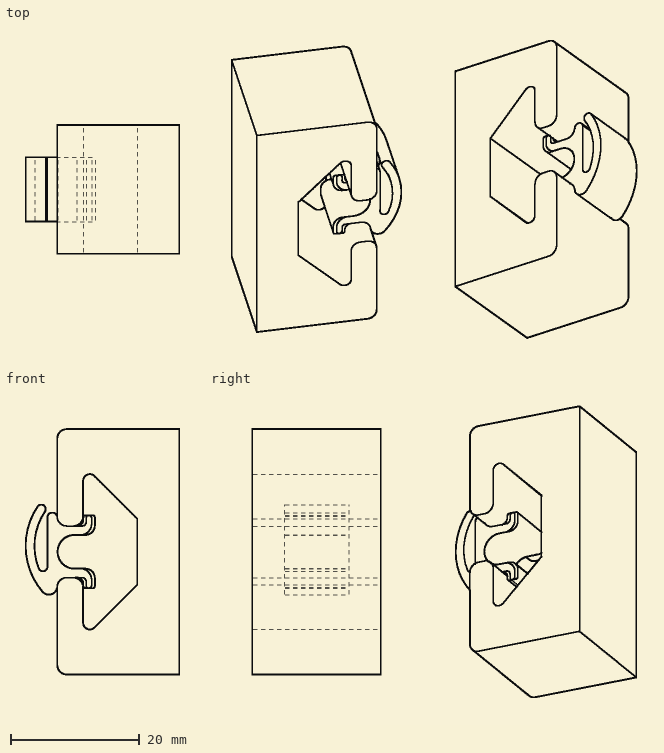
import cadquery as cq
import math

HEIGHT = 38.1
WIDTH = 20.0
DEPTH = 18.97
EDGE_RADIUS = 1.5
LIP_DEPTH = 4.05
MOUTH_HALF = 4.0
CAVITY_BACK = 12.4
CAVITY_BACK_HALF = 5.15
CAVITY_RADIUS = 1.03

CLIP_WIDTH = WIDTH / 2
PLATE_THICKNESS = 1.52
PLATE_TOP = 6.1
LOBE_RADIUS = 1.3
LOBE_Z = -5.37
TONGUE_FRONT = -4.9
TONGUE_Z = 0.9
TONGUE_THICKNESS = 1.4
TONGUE_TIP_Z = 6.63
GAP_RADIUS = 0.7

SLOT_HALF = 2.6
SLOT_START = 0.08
HOOK_TOP = 5.68
HOOK_BACK = 5.85
HOOK_OUTER_RADIUS = 1.52
HOOK_INNER_RADIUS = 1.0
HOOK_TIP_RADIUS = 0.4
CORE_FRONT = 4.5
CORE_BACK = 5.35
CORE_OUTER_RADIUS = 1.75
CORE_INNER_RADIUS = 0.6
CORE_TIP_RADIUS = 0.4
SKIN = 0.05


def centred_prism(outline, width):
    """Extrude a closed XZ outline equally to both sides of Y = 0."""
    return outline.close().extrude(width / 2, both=True)


def polygon_prism(points, width):
    return centred_prism(cq.Workplane("XZ").polyline(points), width)


def box_between(x0, x1, z0, z1, width):
    return polygon_prism([(x0, z0), (x1, z0), (x1, z1), (x0, z1)], width)


def round_edges(body, x, z_values, radius):
    """Round the edges along Y at one X and several Z positions."""
    tolerance = 0.005
    for z in z_values:
        corner = cq.selectors.BoxSelector(
            (x - tolerance, -WIDTH, z - tolerance), (x + tolerance, WIDTH, z + tolerance)
        )
        body = body.edges("|Y").edges(corner).fillet(radius)
    return body


def point_on_circle(center, radius, angle):
    return (center[0] + radius * math.cos(angle), center[1] + radius * math.sin(angle))


def direction(start, end):
    """Angle of the line from start to end, from 0 to a full turn."""
    return math.atan2(end[1] - start[1], end[0] - start[0]) % (2 * math.pi)


def make_housing():
    block = box_between(0, DEPTH, -HEIGHT / 2, HEIGHT / 2, WIDTH)
    apex_z = CAVITY_BACK_HALF + CAVITY_BACK - LIP_DEPTH
    cavity = polygon_prism(
        [(LIP_DEPTH, -apex_z), (CAVITY_BACK, -CAVITY_BACK_HALF),
         (CAVITY_BACK, CAVITY_BACK_HALF), (LIP_DEPTH, apex_z)], WIDTH)
    cavity = round_edges(cavity, LIP_DEPTH, (-apex_z, apex_z), CAVITY_RADIUS)
    mouth = box_between(0, LIP_DEPTH, -MOUTH_HALF, MOUTH_HALF, WIDTH)
    housing = block.cut(cavity).cut(mouth)
    housing = round_edges(housing, 0, (-HEIGHT / 2, HEIGHT / 2), EDGE_RADIUS)
    for lip_x in (0, LIP_DEPTH):
        housing = round_edges(housing, lip_x, (-MOUTH_HALF, MOUTH_HALF), EDGE_RADIUS)
    return housing


def make_head(housing):
    """Plate, lower lobe and tongue as one profile, fitted around the lips."""
    front_to_lobe = -LOBE_RADIUS - TONGUE_FRONT
    lobe_drop = TONGUE_Z - LOBE_Z
    outer = (front_to_lobe**2 + lobe_drop**2 - LOBE_RADIUS**2) / (2 * (front_to_lobe - LOBE_RADIUS))
    inner = outer - TONGUE_THICKNESS
    middle = (outer + inner) / 2
    center = (TONGUE_FRONT + outer, TONGUE_Z)
    lobe = (-LOBE_RADIUS, LOBE_Z)

    gap_x = -PLATE_THICKNESS - GAP_RADIUS
    gap = (gap_x, TONGUE_Z - math.sqrt((inner - GAP_RADIUS)**2 - (center[0] - gap_x)**2))

    tip_angle = math.pi - math.asin((TONGUE_TIP_Z - TONGUE_Z) / middle)
    tip = point_on_circle(center, middle, tip_angle)
    tip_crown = point_on_circle(tip, TONGUE_THICKNESS / 2, tip_angle - math.pi / 2)
    lobe_angle = direction(center, lobe)
    gap_angle = direction(center, gap)
    plate_round = PLATE_THICKNESS / 2

    outline = (
        cq.Workplane("XZ")
        .moveTo(*point_on_circle(center, outer, tip_angle))
        .threePointArc((TONGUE_FRONT, TONGUE_Z), point_on_circle(center, outer, lobe_angle))
        .threePointArc((lobe[0], LOBE_Z - LOBE_RADIUS), (0, LOBE_Z))
        .lineTo(0, PLATE_TOP - plate_round)
        .threePointArc((-plate_round, PLATE_TOP), (-PLATE_THICKNESS, PLATE_TOP - plate_round))
        .lineTo(-PLATE_THICKNESS, gap[1])
        .threePointArc((gap[0], gap[1] - GAP_RADIUS), point_on_circle(center, inner, gap_angle))
        .threePointArc((center[0] - inner, TONGUE_Z), point_on_circle(center, inner, tip_angle))
        .threePointArc(tip_crown, point_on_circle(center, outer, tip_angle))
    )
    root_half = MOUTH_HALF + EDGE_RADIUS
    root = box_between(-PLATE_THICKNESS, EDGE_RADIUS, -root_half, root_half, CLIP_WIDTH)
    return centred_prism(outline, CLIP_WIDTH).union(root).cut(housing)


def make_arm(front, back, top, outer_radius, inner_radius, tip_radius):
    """Upper arm ending in an upturned hook."""
    arm = polygon_prism(
        [(0, 0), (back, 0), (back, top), (front, top), (front, MOUTH_HALF), (0, MOUTH_HALF)],
        CLIP_WIDTH)
    arm = arm.cut(box_between(SLOT_START + SLOT_HALF, back, 0, SLOT_HALF, CLIP_WIDTH))
    arm = round_edges(arm, back, (SLOT_HALF,), outer_radius)
    arm = round_edges(arm, front, (MOUTH_HALF,), inner_radius)
    for tip_x in (front, back):
        arm = round_edges(arm, tip_x, (top,), tip_radius)
    return arm


def make_slot(half_height):
    center_x = SLOT_START + SLOT_HALF
    outline = (
        cq.Workplane("XZ")
        .moveTo(HOOK_BACK, half_height)
        .lineTo(center_x, half_height)
        .threePointArc((center_x - half_height, 0), (center_x, -half_height))
        .lineTo(HOOK_BACK, -half_height)
    )
    return centred_prism(outline, CLIP_WIDTH)


def add_arms(head, arm, slot):
    return head.union(arm).union(arm.mirror("XY")).cut(slot)


def make_clip(head):
    """Head and arms, with a slender core inside each hook."""
    arm = make_arm(CORE_FRONT, CORE_BACK, HOOK_TOP - SKIN,
                   CORE_OUTER_RADIUS, CORE_INNER_RADIUS, CORE_TIP_RADIUS)
    return add_arms(head, arm, make_slot(SLOT_HALF + SKIN))


def make_liner(head, clip):
    """Thin slot lining that thickens into a cap around each hook core."""
    arm = make_arm(LIP_DEPTH, HOOK_BACK, HOOK_TOP,
                   HOOK_OUTER_RADIUS, HOOK_INNER_RADIUS, HOOK_TIP_RADIUS)
    return add_arms(head, arm, make_slot(SLOT_HALF)).cut(clip)


housing = make_housing()
head = make_head(housing)
clip = make_clip(head)
liner = make_liner(head, clip)

result = cq.Compound.makeCompound([housing.val(), clip.val(), liner.val()])